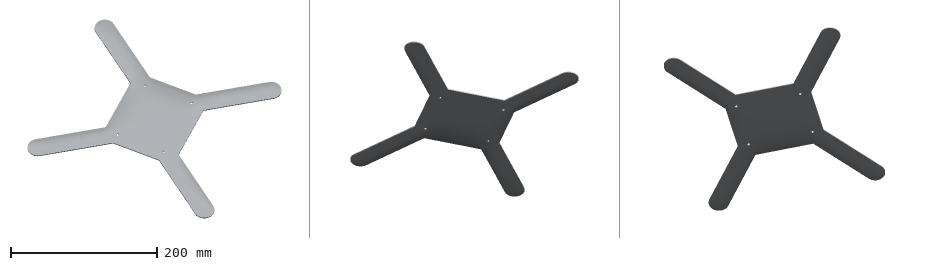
import cadquery as cq
import math

length = 278.2
width = 248.2
thickness = 1.6

plate_length = 109.5
plate_width = 120.8

arm_radius = 14.0
arm_angle = 36.5
arm_reach = 111.3

hole_diameter = 3.3
hole_spacing_x = 69.5
hole_spacing_y = 90.1


def make_arm(side_x, side_y):
    """Round-ended arm pointing towards the given corner."""
    tip_x = length / 2 - arm_radius
    tip_y = width / 2 - arm_radius
    angle = math.radians(arm_angle)
    middle_x = side_x * (tip_x - arm_reach / 2 * math.cos(angle))
    middle_y = side_y * (tip_y - arm_reach / 2 * math.sin(angle))
    return (
        cq.Workplane("XY")
        .center(middle_x, middle_y)
        .slot2D(arm_reach + 2 * arm_radius, 2 * arm_radius, side_x * side_y * arm_angle)
        .extrude(thickness)
    )


plate = cq.Workplane("XY").box(plate_length, plate_width, thickness, centered=(True, True, False))

for side_x in (-1, 1):
    for side_y in (-1, 1):
        plate = plate.union(make_arm(side_x, side_y))

holes = (
    cq.Workplane("XY")
    .rarray(hole_spacing_x, hole_spacing_y, 2, 2)
    .circle(hole_diameter / 2)
    .extrude(thickness)
)

result = plate.cut(holes)